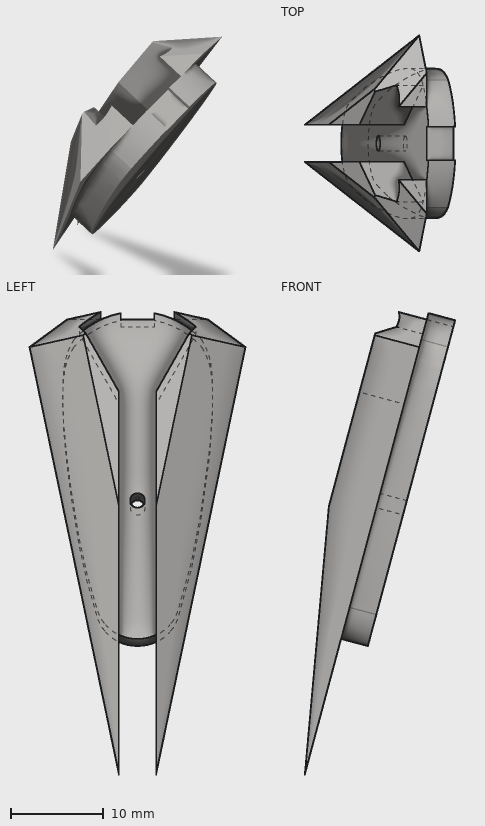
import cadquery as cq
import math

tilt = math.radians(15)
mounting_face = cq.Plane(
    origin=(0, 0, 0),
    xDir=(math.sin(tilt), 0, math.cos(tilt)),
    normal=(-math.cos(tilt), 0, math.sin(tilt)),
)

plate_thickness = 3.0
plate_bottom = 15.2
plate_top = 51.85
bottom_arc_rise = 3.55
bottom_arc_half_chord = 4.45
top_arc_rise = 3.15
top_arc_half_chord = 6.9
side_points = [(23.85, 5.8), (31.2, 7.1), (38.0, 7.9), (43.75, 8.1), (46.5, 7.8)]
notch_width = 3.6
hole_diameter = 1.6
hole_position = 30.7

wing_height = 5.0
wing_length = 50.95
wing_gap = 4.0
wing_span = 23.35
corner_position = 47.85
end_half_width = 7.6
flank_lean = 5.8
flare_start = 41.5
flare_angle = math.radians(28.7)

half_gap = wing_gap / 2


def plate_outline():
    """Egg-shaped outline shared by the plate and the pocket between the wings."""
    lower_joint = plate_bottom + bottom_arc_rise
    upper_joint = plate_top - top_arc_rise
    right_side = [(along, -half_width) for along, half_width in side_points]
    left_side = list(reversed(side_points))
    return (
        cq.Workplane(mounting_face)
        .moveTo(lower_joint, -bottom_arc_half_chord)
        .spline([*right_side, (upper_joint, -top_arc_half_chord)], includeCurrent=True)
        .threePointArc((plate_top, 0), (upper_joint, top_arc_half_chord))
        .spline([*left_side, (lower_joint, bottom_arc_half_chord)], includeCurrent=True)
        .threePointArc((plate_bottom, 0), (lower_joint, -bottom_arc_half_chord))
        .close()
    )


def make_plate():
    notch_depth = plate_top - wing_length
    notch = (
        cq.Workplane(mounting_face)
        .center(wing_length + notch_depth / 2, 0)
        .rect(notch_depth, notch_width)
        .extrude(-plate_thickness)
    )
    hole = (
        cq.Workplane(mounting_face)
        .center(hole_position, 0)
        .circle(hole_diameter / 2)
        .extrude(-plate_thickness)
    )
    return plate_outline().extrude(-plate_thickness).cut(notch).cut(hole)


def make_flared_pocket():
    """Space between the spreading inner walls, bounded at the top by the egg shape."""
    flare_length = plate_top - flare_start
    flare_half_width = half_gap + flare_length * math.tan(flare_angle)
    flare = (
        cq.Workplane(mounting_face)
        .polyline([
            (flare_start, -half_gap),
            (flare_start + flare_length, -flare_half_width),
            (flare_start + flare_length, flare_half_width),
            (flare_start, half_gap),
        ])
        .close()
        .extrude(wing_height)
    )
    return plate_outline().extrude(wing_height).intersect(flare)


def make_wing(side):
    """One wing; side is +1 for the +Y wing and -1 for the -Y wing."""
    outline = [
        (0, half_gap),
        (corner_position, wing_span / 2),
        (wing_length, end_half_width),
        (wing_length, -wing_span),
        (0, -wing_span),
    ]
    base = [(along, side * across) for along, across in outline]
    crest = [(along, side * (across - flank_lean)) for along, across in outline]
    leaning_prism = (
        cq.Workplane(mounting_face)
        .polyline(base)
        .close()
        .workplane(offset=wing_height)
        .polyline(crest)
        .close()
        .loft(ruled=True)
    )
    outside_gap = (
        cq.Workplane(mounting_face)
        .center(wing_length / 2, side * (half_gap + wing_span / 2))
        .rect(wing_length, wing_span)
        .extrude(wing_height)
    )
    return leaning_prism.intersect(outside_gap).cut(make_flared_pocket())


plate = make_plate()
wings = [make_wing(side) for side in (-1, 1)]

result = cq.Compound.makeCompound([
    plate.val().Solids()[0],
    *[wing.val().Solids()[0] for wing in wings],
])